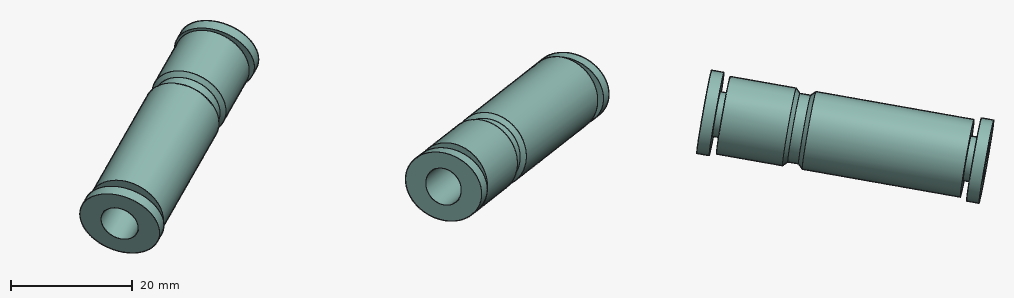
import cadquery as cq

length = 47.15
body_diameter = 13.0
neck_diameter = 7.5
bore_diameter = 6.5
bore_depth = 18.85

collar_width = 14.0
collar_height = 12.05
collar_thickness = 2.07
neck_length = 1.15

groove_diameter = 11.5
groove_start = 6.05
groove_width = 3.3
groove_slope = (body_diameter - groove_diameter) / 2

half_length = length / 2
body_end = half_length - collar_thickness - neck_length
groove_end = groove_start + groove_width


def end_plane(side, distance):
    """Plane at the given distance along Y whose normal points out of that end."""
    return cq.Plane(origin=(0, side * distance, 0), xDir=(1, 0, 0), normal=(0, side, 0))


def make_body():
    """Revolve the grooved body about the Y axis."""
    body_radius = body_diameter / 2
    groove_radius = groove_diameter / 2
    profile = [
        (0, -body_end),
        (body_radius, -body_end),
        (body_radius, groove_start),
        (groove_radius, groove_start + groove_slope),
        (groove_radius, groove_end - groove_slope),
        (body_radius, groove_end),
        (body_radius, body_end),
        (0, body_end),
    ]
    return cq.Workplane("XY").polyline(profile).close().revolve(360, (0, 0), (0, 1))


def make_release_collar(side):
    """Round neck and elliptical collar standing out from one end of the body."""
    neck = cq.Workplane(end_plane(side, body_end)).circle(neck_diameter / 2).extrude(neck_length)
    collar = (
        cq.Workplane(end_plane(side, body_end + neck_length))
        .ellipse(collar_width / 2, collar_height / 2)
        .extrude(collar_thickness)
    )
    return neck.union(collar)


def make_bore(side):
    """Blind tube socket cut inward from one end face."""
    return cq.Workplane(end_plane(side, half_length)).circle(bore_diameter / 2).extrude(-bore_depth)


result = make_body()
for side in (-1, 1):
    result = result.union(make_release_collar(side))
for side in (-1, 1):
    result = result.cut(make_bore(side))